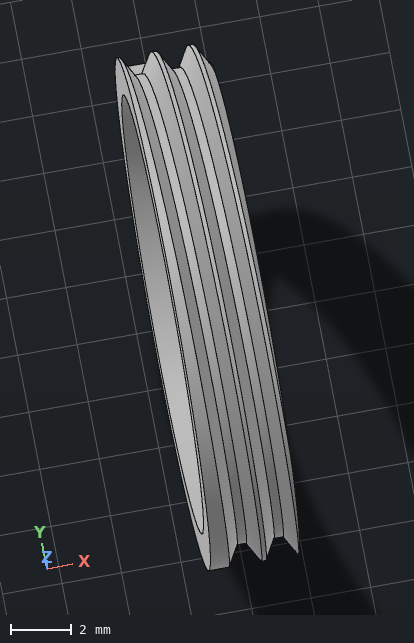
import cadquery as cq
import math

outer_radius = 8.62
bore_diameter = 14.75
ring_width = 3.0

pitch = 1.25
flank_angle = math.radians(30)
sharp_height = pitch / (2 * math.tan(flank_angle))
groove_depth = sharp_height * 5 / 8
floor_width = pitch / 4
start_centre = 0.55
groove_turns = 2.7
cutter_overshoot = 0.07


def make_ring():
    return cq.Workplane("XY").circle(outer_radius).circle(bore_diameter / 2).extrude(ring_width)


def make_groove_cutter():
    floor_radius = outer_radius - groove_depth
    rim_radius = outer_radius + cutter_overshoot
    floor_half = floor_width / 2
    rim_half = floor_half + (rim_radius - floor_radius) * math.tan(flank_angle)
    helix = cq.Wire.makeHelix(pitch, pitch * groove_turns, floor_radius)
    profile = cq.Workplane("XZ").polyline([
        (floor_radius, -floor_half),
        (rim_radius, -rim_half),
        (rim_radius, rim_half),
        (floor_radius, floor_half),
    ]).close()
    cutter = profile.sweep(cq.Workplane(obj=helix), isFrenet=True)
    return cutter.translate((0, 0, start_centre))


grooved_ring = make_ring().cut(make_groove_cutter())
result = grooved_ring.rotate((0, 0, 0), (1, 1, 1), 120)